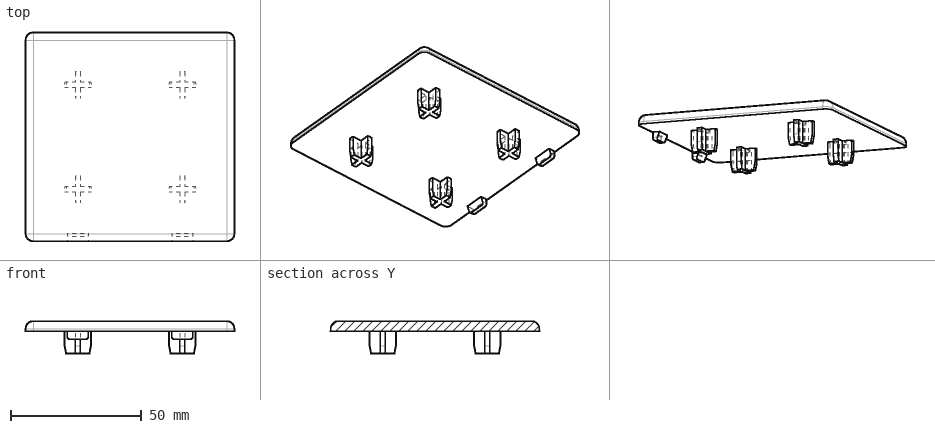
import cadquery as cq

plate_side = 80.0
plate_thickness = 4.0
edge_radius = 3.0

plug_spacing = 40.0
plug_length = 8.5
plug_radius = 5.1
plug_tip_radius = 4.5
plug_lead_in = 3.1
rib_thickness = 2.0

hook_width = 8.0
hook_length = 3.0
hook_edge_gap = 0.3
hook_root_thickness = 2.8
hook_tip_thickness = 1.65
hook_corner_radius = 1.0

column_positions = (-plug_spacing / 2, plug_spacing / 2)


def make_plate():
    """Square plate with ball-rounded top corners and a plain bottom edge."""
    plate = cq.Workplane("XY").rect(plate_side, plate_side).extrude(plate_thickness)
    plate = plate.edges("|Z").fillet(edge_radius)
    return plate.faces(">Z").edges().fillet(edge_radius)


def make_plug(x, y):
    """Two crossed ribs trimmed to a cylinder that narrows towards the tip."""
    envelope = (
        cq.Workplane("XZ")
        .moveTo(0, 0)
        .lineTo(plug_radius, 0)
        .lineTo(plug_radius, plug_lead_in - plug_length)
        .lineTo(plug_tip_radius, -plug_length)
        .lineTo(0, -plug_length)
        .close()
        .revolve(360, (0, 0), (0, 1))
    )
    rib_along_x = cq.Workplane("XY").rect(2 * plug_radius, rib_thickness).extrude(-plug_length)
    rib_along_y = cq.Workplane("XY").rect(rib_thickness, 2 * plug_radius).extrude(-plug_length)
    return rib_along_x.union(rib_along_y).intersect(envelope).translate((x, y, 0))


def make_hook(x):
    """Tab with an upright outer face, a sloping inner face and rounded lower corners."""
    outer_y = -plate_side / 2 + hook_edge_gap
    hook = (
        cq.Workplane("YZ")
        .moveTo(outer_y, 0)
        .lineTo(outer_y + hook_root_thickness, 0)
        .lineTo(outer_y + hook_tip_thickness, -hook_length)
        .lineTo(outer_y, -hook_length)
        .close()
        .extrude(hook_width / 2, both=True)
    )
    hook = hook.faces("<Z").edges("|Y").fillet(hook_corner_radius)
    return hook.translate((x, 0, 0))


result = make_plate()
for column_x in column_positions:
    result = result.union(make_hook(column_x))
    for row_y in column_positions:
        result = result.union(make_plug(column_x, row_y))